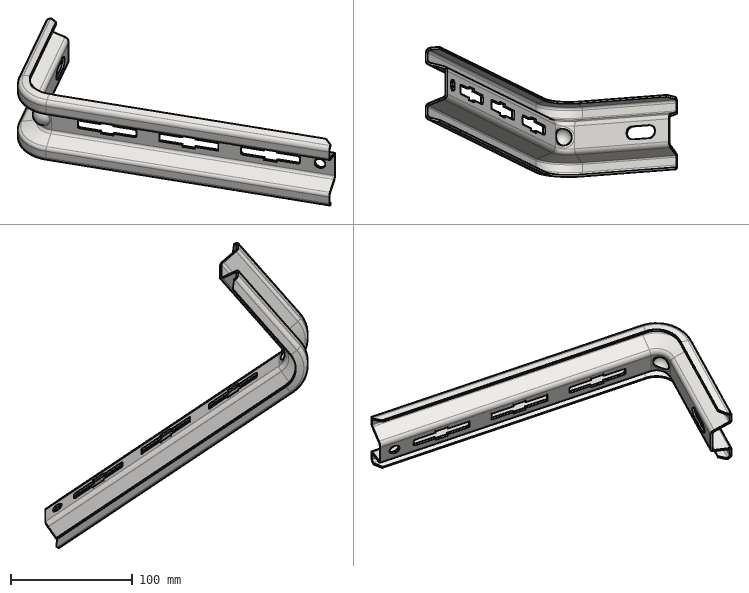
import cadquery as cq
import math

length_x = 274.0
length_y = 115.0
depth = 19.2
sheet = 2.0
corner_radius = 31.5
leg_x = length_x - corner_radius
leg_y = length_y - corner_radius

web_half_flat = 9.5
face_low = 19.5
face_high = 26.0
web_bend_radius = 2.7
flange_bend_radius = 3.3
lip_bend_radius = 4.5
lip_slope = 12.0
lip_depth = 10.0
lip_corner_chamfer = 5.5

dome_radius = 9.0
dome_reach = 11.5
dome_base_fillet = 0.8

slot_centers = [79.2, 149.0, 219.0]
slot_length = 50.5
slot_height = 7.7
slot_corner_radius = 2.0
notch_length = 11.0
notch_height = 11.2
hole_center = 261.5
hole_diameter = 9.0

end_slot_center = 90.1
end_slot_length = 25.2
end_slot_height = 11.0


def flange_angle():
    """Slope (radians from the depth direction) of the flange tangent to both of its bends."""
    web_center = (depth - sheet - web_bend_radius, web_half_flat)
    face_center = (flange_bend_radius, face_low)
    run = web_center[0] - face_center[0]
    rise = face_center[1] - web_center[1]
    reach = web_bend_radius + flange_bend_radius
    return math.atan2(rise, run) - math.asin(reach / math.hypot(run, rise))


def half_section(workplane):
    """Closed sheet outline above the mid plane; local x is depth, local y is height."""
    slope = flange_angle()
    quarter = math.pi / 2
    lip = math.radians(lip_slope)
    web_face = depth - sheet
    bends = [
        ((web_face - web_bend_radius, web_half_flat),
         web_bend_radius, web_bend_radius + sheet, 0, quarter - slope),
        ((flange_bend_radius, face_low),
         flange_bend_radius, flange_bend_radius - sheet, -quarter - slope, -math.pi),
        ((lip_bend_radius, face_high),
         lip_bend_radius, lip_bend_radius - sheet, math.pi, quarter + lip),
    ]

    def bend_point(center, radius, angle):
        return (center[0] + radius * math.cos(angle), center[1] + radius * math.sin(angle))

    outline = workplane.moveTo(depth, 0).lineTo(web_face, 0)
    for center, outer, _, start, end in bends:
        outline = outline.lineTo(*bend_point(center, outer, start))
        outline = outline.threePointArc(
            bend_point(center, outer, (start + end) / 2), bend_point(center, outer, end)
        )

    lip_start = bend_point((lip_bend_radius, face_high), lip_bend_radius, quarter + lip)
    edge_height = lip_start[1] + (lip_depth - lip_start[0]) * math.tan(lip)
    outline = outline.lineTo(lip_depth, edge_height)
    outline = outline.lineTo(
        lip_depth + sheet * math.sin(lip), edge_height - sheet * math.cos(lip)
    )

    for center, _, inner, start, end in reversed(bends):
        outline = outline.lineTo(*bend_point(center, inner, end))
        outline = outline.threePointArc(
            bend_point(center, inner, (start + end) / 2), bend_point(center, inner, start)
        )
    return outline.close()


def channel():
    """Both legs and the quarter-turn bend that joins them."""
    long_leg = half_section(cq.Workplane("YZ", origin=(corner_radius, 0, 0))).extrude(leg_x)
    short_leg = half_section(cq.Workplane("XZ", origin=(0, length_y, 0))).extrude(leg_y)
    bend = half_section(cq.Workplane("XZ", origin=(0, corner_radius, 0))).revolve(
        90, (corner_radius, 0), (corner_radius, 1)
    )
    upper_half = long_leg.union(bend).union(short_leg)
    return upper_half.union(upper_half.mirror("XY"))


def add_dome(body):
    """Pressed dome in the corner: bulges outward and is hollow on the inside of the bend."""
    offset = corner_radius - dome_reach / math.sqrt(2)
    web_inner_radius = corner_radius - depth
    ball = cq.Workplane("XY").sphere(dome_radius).translate((offset, offset, 0))
    hollow = cq.Workplane("XY").sphere(dome_radius - sheet).translate((offset, offset, 0))

    turn = (
        cq.Workplane("XY")
        .rect(corner_radius, corner_radius, centered=False)
        .extrude(dome_radius, both=True)
    )
    bend_core = (
        cq.Workplane("XY")
        .center(corner_radius, corner_radius)
        .circle(web_inner_radius)
        .extrude(dome_radius, both=True)
    )
    domed = body.union(ball.intersect(turn).cut(bend_core))
    domed = domed.edges("%BSPLINE").fillet(dome_base_fillet)
    return domed.cut(hollow)


def trim_lip_corner(body, leg_end, along_x):
    """Cut the free corner off both lips at one leg's end, 45 degrees in plan."""
    size = lip_corner_chamfer + sheet
    corner_depth = lip_depth + sheet
    corners = [
        (leg_end, corner_depth),
        (leg_end - size, corner_depth),
        (leg_end, corner_depth - size),
    ]
    if not along_x:
        corners = [(y, x) for x, y in corners]
    lip_prism = (
        cq.Workplane("XY", origin=(0, 0, face_high)).polyline(corners).close().extrude(depth)
    )
    return body.cut(lip_prism).cut(lip_prism.mirror("XY"))


def slot_cutter(center_x, rounded):
    """Long slot with a taller notch at mid length, cut through the long leg's web."""
    wall = cq.Workplane("XZ", origin=(center_x, 0, 0))
    slot = wall.rect(slot_length, slot_height).extrude(-2 * depth)
    if rounded:
        slot = slot.edges("|Y").fillet(slot_corner_radius)
    return slot.union(wall.rect(notch_length, notch_height).extrude(-2 * depth))


result = add_dome(channel())
result = trim_lip_corner(result, length_x, along_x=True)
result = trim_lip_corner(result, length_y, along_x=False)

for index, center_x in enumerate(slot_centers):
    result = result.cut(slot_cutter(center_x, rounded=index != 1))

hole = cq.Workplane("XZ", origin=(hole_center, 0, 0)).circle(hole_diameter / 2).extrude(-2 * depth)
result = result.cut(hole)

end_slot = (
    cq.Workplane("YZ", origin=(0, end_slot_center, 0))
    .slot2D(end_slot_length, end_slot_height)
    .extrude(2 * depth)
)
result = result.cut(end_slot)